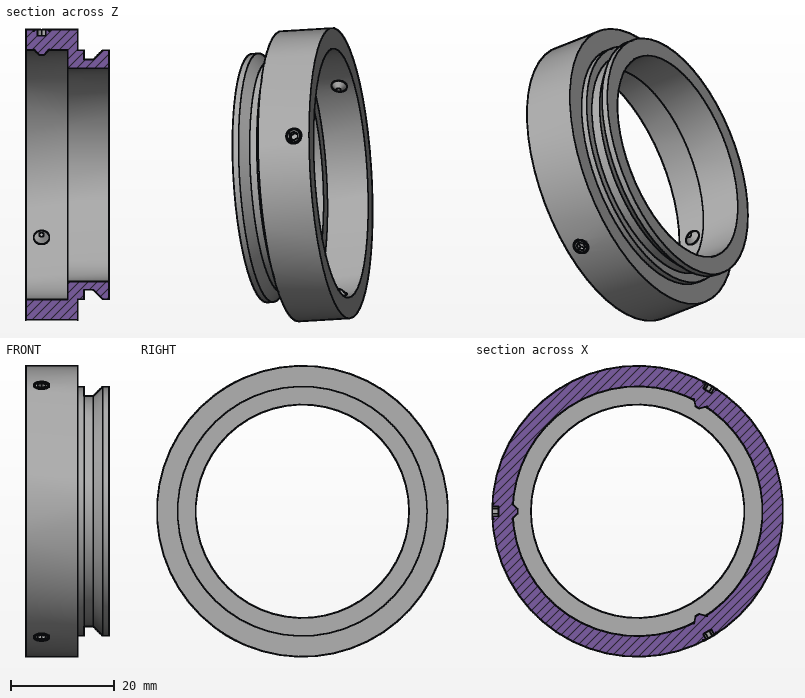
import cadquery as cq
import math

body_diameter = 56.0
body_length = 10.0
dovetail_diameter = 48.0
groove_diameter = 44.4
shoulder_length = 1.2
groove_width = 1.8
rim_width = 1.25
through_diameter = 41.0
socket_depth = 8.0

screw_count = 3
screw_position = 3.0
screw_diameter = 3.0

head_diameter = 2.45
head_distance = 27.95
head_chamfer = 0.3
tip_diameter = 0.9
tip_distance = 23.0
shank_end_distance = 24.15
hex_across_flats = 1.5
hex_depth = 1.2
hex_turn = 30

body_radius = body_diameter / 2
dovetail_radius = dovetail_diameter / 2
groove_radius = groove_diameter / 2
through_radius = through_diameter / 2

groove_start = body_length + shoulder_length
groove_end = groove_start + groove_width
flank_end = groove_end + dovetail_radius - groove_radius
total_length = flank_end + rim_width


def make_ring():
    """Stepped ring; the wide socket matches the dovetail diameter."""
    profile = [
        (0, dovetail_radius),
        (0, body_radius),
        (body_length, body_radius),
        (body_length, dovetail_radius),
        (groove_start, dovetail_radius),
        (groove_start, groove_radius),
        (groove_end, groove_radius),
        (flank_end, dovetail_radius),
        (total_length, dovetail_radius),
        (total_length, through_radius),
        (socket_depth, through_radius),
        (socket_depth, dovetail_radius),
    ]
    return cq.Workplane("XY").polyline(profile).close().revolve(360, (0, 0, 0), (1, 0, 0))


def place_screw(shape, index):
    """Move a shape from the +Y radius to its place around the ring axis."""
    angle = index * 360 / screw_count
    return shape.translate((screw_position, 0, 0)).rotate((0, 0, 0), (1, 0, 0), angle)


def make_screw_hole():
    """Radial hole through the ring wall, along +Y."""
    return cq.Workplane("XZ").circle(screw_diameter / 2).extrude(-body_radius)


def make_screw():
    """Set screw along +Y with a chamfered head, a hex socket and a cone tip."""
    half_profile = [
        (0, tip_distance),
        (tip_diameter / 2, tip_distance),
        (screw_diameter / 2, shank_end_distance),
        (screw_diameter / 2, head_distance - head_chamfer),
        (head_diameter / 2, head_distance),
        (0, head_distance),
    ]
    screw = cq.Workplane("XY").polyline(half_profile).close().revolve(360, (0, 0, 0), (0, 1, 0))
    hex_across_corners = hex_across_flats / math.cos(math.pi / 6)
    hex_socket = (
        cq.Workplane("XZ", origin=(0, head_distance, 0))
        .transformed(rotate=(0, 0, hex_turn))
        .polygon(6, hex_across_corners)
        .extrude(hex_depth)
    )
    return screw.cut(hex_socket)


result = make_ring()
for screw_index in range(screw_count):
    result = result.cut(place_screw(make_screw_hole(), screw_index))
    result = result.union(place_screw(make_screw(), screw_index))